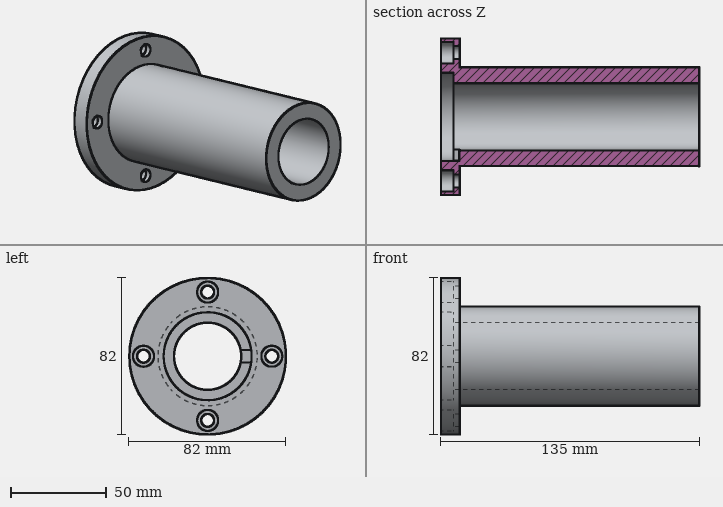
import cadquery as cq

total_length = 135.0
flange_diameter = 82.0
flange_thickness = 10.0
tube_diameter = 52.0
edge_chamfer = 0.2

bore_diameter = 35.0
recess_diameter = 46.0
recess_depth = 6.5

slot_width = 6.5
slot_depth = 3.0

hole_count = 4
hole_circle_diameter = 67.0
hole_diameter = 6.6
counterbore_diameter = 11.0
counterbore_depth = 6.5


def cylinder(diameter, start, length, y=0.0, z=0.0):
    """Cylinder along +X, starting at X = start."""
    return cq.Workplane("YZ", origin=(start, y, z)).circle(diameter / 2).extrude(length)


def make_body():
    """Flange and tube, with small chamfers on the outer edges."""
    flange = cylinder(flange_diameter, 0, flange_thickness).edges().chamfer(edge_chamfer)
    tube = cylinder(tube_diameter, 0, total_length).faces(">X").edges().chamfer(edge_chamfer)
    return flange.union(tube)


def cut_bore(body):
    """Through bore with a wider recess at the flange face."""
    bore = cylinder(bore_diameter, 0, total_length)
    recess = cylinder(recess_diameter, 0, recess_depth)
    return body.cut(bore).cut(recess)


def cut_slot(body):
    """Slot from the bore out to the recess wall, sunk into the recess floor."""
    slot_length = recess_diameter / 2
    slot = (
        cq.Workplane("XY")
        .box(slot_depth, slot_length, slot_width, centered=(False, False, True))
        .translate((recess_depth, -slot_length, 0))
        .intersect(cylinder(recess_diameter, recess_depth, slot_depth))
    )
    return body.cut(slot)


def cut_screw_holes(body):
    """Screw holes on the flange, counterbored from the flange face."""
    hole = cylinder(hole_diameter, 0, flange_thickness, z=hole_circle_diameter / 2)
    counterbore = cylinder(counterbore_diameter, 0, counterbore_depth, z=hole_circle_diameter / 2)
    cutter = hole.union(counterbore)
    for index in range(hole_count):
        angle = index * 360 / hole_count
        body = body.cut(cutter.rotate((0, 0, 0), (1, 0, 0), angle))
    return body


result = cut_screw_holes(cut_slot(cut_bore(make_body())))